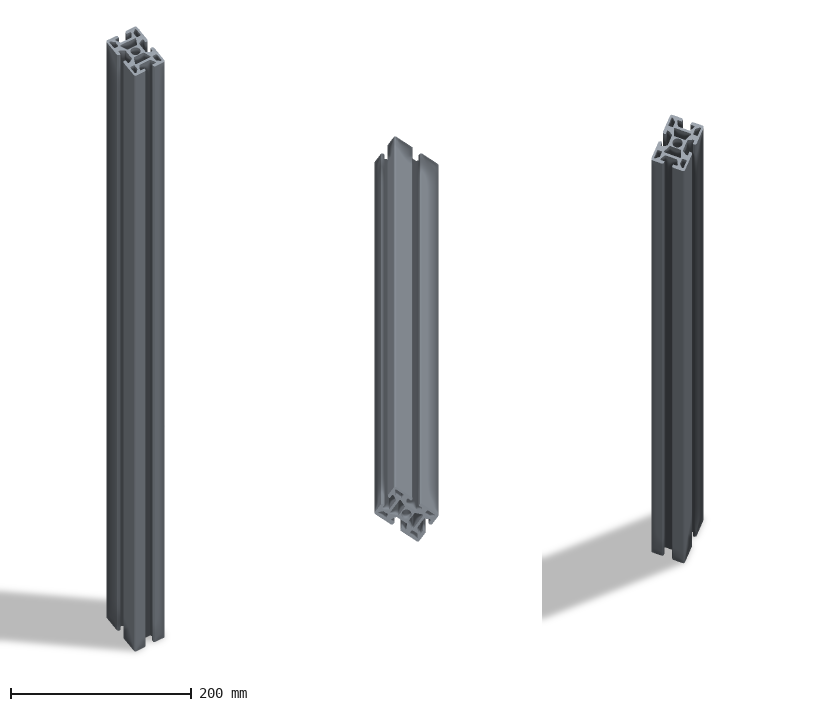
import cadquery as cq

width = 60.0
depth = 40.0
length = 1000.0
corner_radius = 2.2

slot_opening = 10.0
mouth_chamfer = 1.4
lip_thickness = 3.8
undercut_width = 20.0
undercut_straight = 1.9
undercut_fillet = 2.2
slot_floor_width = 14.0
slot_depth = 11.0

core_hole_diameter = 11.0

chamber_wall = 3.0
chamber_outer_x = width / 2 - slot_depth - chamber_wall
chamber_inner_x = 6.5
chamber_outer_height = 21.0
chamber_inner_height = 13.0
chamber_fillet = 0.9

pocket_wall = 2.5
pocket_inner_x = 16.0
pocket_base_width = 7.0
pocket_outer_width = 12.0
pocket_height = 5.6
pocket_fillet = 1.0


def prism(points):
    """Full-length prism over a closed outline of straight edges."""
    return cq.Workplane("XY").polyline(points).close().extrude(length)


def t_slot(face_distance, angle):
    """Cutter for a T-slot in the face at face_distance from the axis, turned by angle about Z."""
    half_opening = slot_opening / 2
    half_undercut = undercut_width / 2
    lip_y = face_distance - lip_thickness
    taper_y = lip_y - undercut_straight
    right_side = [
        (half_opening + mouth_chamfer, face_distance),
        (half_opening, face_distance - mouth_chamfer),
        (half_opening, lip_y),
        (half_undercut, lip_y),
        (half_undercut, taper_y),
        (slot_floor_width / 2, face_distance - slot_depth),
    ]
    left_side = [(-x, y) for x, y in reversed(right_side)]
    cutter = prism(right_side + left_side)
    for side in (-1, 1):
        taper_edge = cq.selectors.NearestToPointSelector((side * half_undercut, taper_y, length / 2))
        cutter = cutter.edges("|Z").edges(taper_edge).fillet(undercut_fillet)
    return cutter.rotate((0, 0, 0), (0, 0, 1), angle)


def side_chamber(side):
    """Hollow on one X side of the core, taller towards the slot."""
    outer_y = chamber_outer_height / 2
    inner_y = chamber_inner_height / 2
    points = [
        (side * chamber_outer_x, outer_y),
        (side * chamber_outer_x, -outer_y),
        (side * chamber_inner_x, -inner_y),
        (side * chamber_inner_x, inner_y),
    ]
    return prism(points).edges("|Z").fillet(chamber_fillet)


def corner_pocket(x_side, y_side):
    """Hollow in one corner, with its slanted wall facing the X-side slot."""
    outer_y = depth / 2 - pocket_wall
    base_y = outer_y - pocket_height
    points = [
        (x_side * pocket_inner_x, y_side * base_y),
        (x_side * (pocket_inner_x + pocket_base_width), y_side * base_y),
        (x_side * (pocket_inner_x + pocket_outer_width), y_side * outer_y),
        (x_side * pocket_inner_x, y_side * outer_y),
    ]
    return prism(points).edges("|Z").fillet(pocket_fillet)


bar = cq.Workplane("XY").rect(width, depth).extrude(length).edges("|Z").fillet(corner_radius)

for quarter_turn in range(4):
    face_distance = depth / 2 if quarter_turn % 2 == 0 else width / 2
    bar = bar.cut(t_slot(face_distance, 90 * quarter_turn))

for x_side in (-1, 1):
    bar = bar.cut(side_chamber(x_side))
    for y_side in (-1, 1):
        bar = bar.cut(corner_pocket(x_side, y_side))

core_hole = cq.Workplane("XY").circle(core_hole_diameter / 2).extrude(length)
result = bar.cut(core_hole)